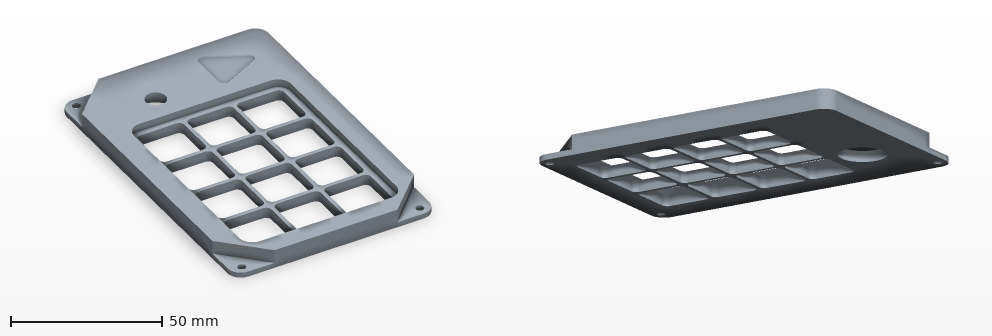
import cadquery as cq

LENGTH = 115.6
WIDTH = 77.1
THICKNESS = 7.0
CORNER_RADIUS = 5.0

TAB_THICKNESS = 2.0
TAB_LEG = 15.0
SCREW_DIAMETER = 3.0
SCREW_INSET_X = 3.5
SCREW_INSET_Y = 4.5

COLUMNS = 4
ROWS = 3
GRID_CENTER_X = 11.2
GRID_LENGTH = 74.7
WINDOW_SIZE = 17.6
WINDOW_RADIUS = 2.0
WINDOW_PITCH = (GRID_LENGTH - WINDOW_SIZE) / (COLUMNS - 1)
GRID_WIDTH = (ROWS - 1) * WINDOW_PITCH + WINDOW_SIZE

RECESS_BORDER = 2.2
RECESS_LENGTH = GRID_LENGTH + 2 * RECESS_BORDER
RECESS_WIDTH = GRID_WIDTH + 2 * RECESS_BORDER
RECESS_DEPTH = 3.0
RECESS_RADIUS = 5.0

HOLE_DIAMETER = 7.5
HOLE_X = -38.2
HOLE_Y = -13.1
COUNTERBORE_DIAMETER = 16.4
COUNTERBORE_DEPTH = 3.8

TRIANGLE_X = -43.2
TRIANGLE_BASE_Y = 10.1
TRIANGLE_BASE = 20.0
TRIANGLE_HEIGHT = 20.0
TRIANGLE_RADIUS = 2.0
TRIANGLE_DEPTH = 0.5
TRIANGLE_TAPER = 45.0

TAB_SIGNS = [(-1, -1), (1, -1), (1, 1)]


def make_plate():
    plate = cq.Workplane("XY").box(LENGTH, WIDTH, THICKNESS, centered=(True, True, False))
    return plate.edges("|Z").fillet(CORNER_RADIUS)


def tab_relief(sign_x, sign_y):
    """Triangular prism that lowers one corner to the tab thickness."""
    corner_x = sign_x * LENGTH / 2
    corner_y = sign_y * WIDTH / 2
    return (
        cq.Workplane("XY", origin=(0, 0, TAB_THICKNESS))
        .moveTo(corner_x, corner_y)
        .lineTo(corner_x - sign_x * TAB_LEG, corner_y)
        .lineTo(corner_x, corner_y - sign_y * TAB_LEG)
        .close()
        .extrude(THICKNESS - TAB_THICKNESS)
    )


def bore(x, y, diameter, depth=THICKNESS):
    """Cylinder rising from the underside."""
    return cq.Workplane("XY").center(x, y).circle(diameter / 2).extrude(depth)


def screw_hole(sign_x, sign_y):
    x = sign_x * (LENGTH / 2 - SCREW_INSET_X)
    y = sign_y * (WIDTH / 2 - SCREW_INSET_Y)
    return bore(x, y, SCREW_DIAMETER)


def grid_recess():
    return (
        cq.Workplane("XY", origin=(GRID_CENTER_X, 0, THICKNESS - RECESS_DEPTH))
        .rect(RECESS_LENGTH, RECESS_WIDTH)
        .extrude(RECESS_DEPTH)
        .edges("|Z")
        .fillet(RECESS_RADIUS)
    )


def key_windows():
    return (
        cq.Workplane("XY", origin=(GRID_CENTER_X, 0, 0))
        .rarray(WINDOW_PITCH, WINDOW_PITCH, COLUMNS, ROWS)
        .rect(WINDOW_SIZE, WINDOW_SIZE)
        .extrude(THICKNESS)
        .edges("|Z")
        .fillet(WINDOW_RADIUS)
    )


def triangle_pocket():
    outline = (
        cq.Sketch()
        .polygon([
            (-TRIANGLE_BASE / 2, 0),
            (TRIANGLE_BASE / 2, 0),
            (0, TRIANGLE_HEIGHT),
            (-TRIANGLE_BASE / 2, 0),
        ])
        .vertices()
        .fillet(TRIANGLE_RADIUS)
    )
    return (
        cq.Workplane("XY", origin=(TRIANGLE_X, TRIANGLE_BASE_Y, THICKNESS))
        .placeSketch(outline)
        .extrude(-TRIANGLE_DEPTH, taper=TRIANGLE_TAPER)
    )


result = make_plate()
for signs in TAB_SIGNS:
    result = result.cut(tab_relief(*signs)).cut(screw_hole(*signs))
result = result.cut(grid_recess()).cut(key_windows())
result = result.cut(bore(HOLE_X, HOLE_Y, HOLE_DIAMETER))
result = result.cut(bore(HOLE_X, HOLE_Y, COUNTERBORE_DIAMETER, COUNTERBORE_DEPTH))
result = result.cut(triangle_pocket())